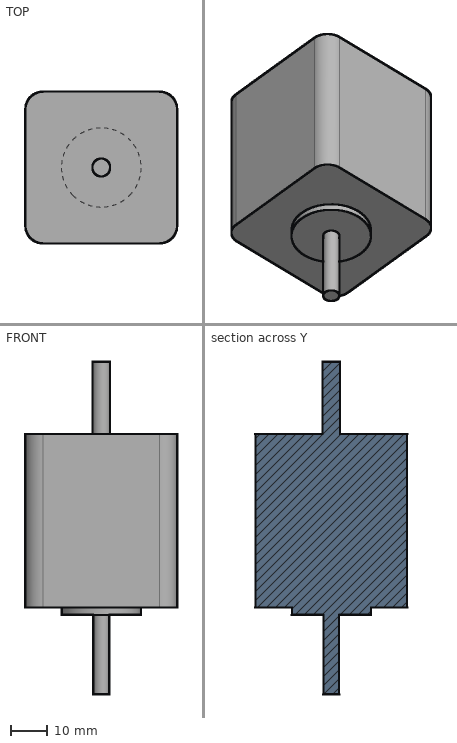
import cadquery as cq

total_length = 92.0
body_width = 42.0
body_height = 48.0
corner_radius = 5.0
pilot_diameter = 22.0
pilot_height = 2.0
rear_shaft_diameter = 5.0
rear_shaft_length = 20.0
front_shaft_diameter = 4.5
front_shaft_length = total_length - rear_shaft_length - body_height - pilot_height


def cylinder(diameter, bottom, height):
    """Upright cylinder on the motor axis, starting at the given level."""
    return cq.Workplane("XY").workplane(offset=bottom).circle(diameter / 2).extrude(height)


body = (
    cq.Workplane("XY")
    .rect(body_width, body_width)
    .extrude(body_height)
    .edges("|Z")
    .fillet(corner_radius)
)

rear_shaft = cylinder(rear_shaft_diameter, body_height, rear_shaft_length)

pilot = cylinder(pilot_diameter, -pilot_height, pilot_height)
front_shaft = cylinder(front_shaft_diameter, -pilot_height - front_shaft_length, front_shaft_length)

result = body.union(rear_shaft).union(pilot).union(front_shaft)